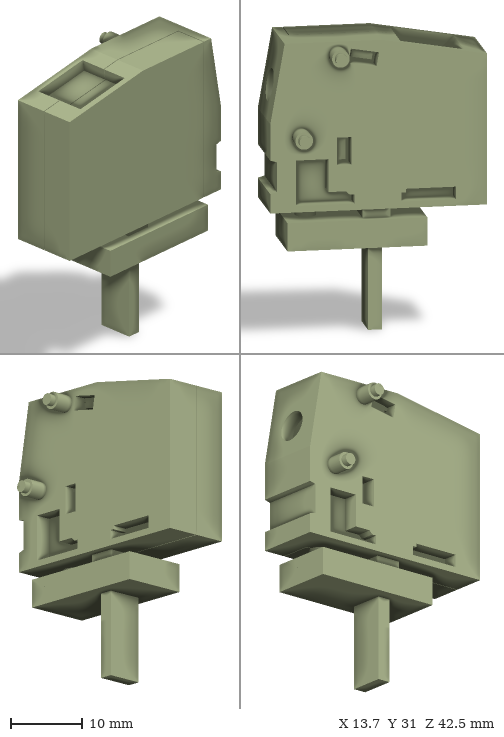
import cadquery as cq
import math


module_width = 10.05
module_depth = 31.0
module_bottom = 18.0
module_top = 42.5
slope_angle = 10.0
crease_y = 15.0
back_edge_y = 28.95
mid_x = module_width / 2

slope_sin = math.sin(math.radians(slope_angle))
slope_cos = math.cos(math.radians(slope_angle))
slope_tan = slope_sin / slope_cos

notch_depth = 0.95
notch_bottom = 20.82
notch_top = 25.65
notch_taper = 0.25

housing_thickness = mid_x
gap = 0.13
cover_back_y = 27.35

label_width = 8.15
label_front_y = 3.2
label_back_y = 12.25
label_floor_front_y = 4.9
label_depth = 1.8

entry_diameter = 4.6
entry_y = 30.18
entry_depth = 2.12

pocket_depth = 2.4
pocket_bottom = 18.95
pocket_step = 20.27
pocket_shelf = 20.8
slot_front_y = 4.45
slot_step_y = 11.6
slot_back_y = 12.25
angle_pocket_top = 25.55
angle_pocket_front_y = 18.95
angle_pocket_chamfer_y = 20.15
angle_pocket_inner_y = 22.65
angle_pocket_back_y = 27.3

window_length = 4.1
window_width = 2.1
block_length = 3.0
block_width = 1.5
block_recess = 1.6
ledge_width = 0.6
ledge_recess = 1.75
upright_window = (20.4, 26.55)
tilted_window = (17.65, 40.05)
window_tilt = 90.0 + slope_angle

pin_diameter = 2.5
pin_length = 2.68
pin_tip_diameter = 1.7
pin_tip_length = 0.98
pin_places = [(21.38, 40.65), (26.6, 29.0)]

plate_width = 9.65
plate_left_x = 0.2
plate_front_y = 8.5
plate_length = 19.98
lower_plate_bottom = 12.35
lower_plate_top = 14.88
upper_plate_top = 16.45
plate_mid_x = plate_left_x + plate_width / 2

boss_width = 7.15
boss_length = 3.95
boss_y = 15.55
post_diameter = 3.0
post_y = 25.08

blade_width = 5.4
blade_thickness = 2.0
blade_y = 15.6


def box(x_min, x_max, y_min, y_max, z_min, z_max):
    """Box between the given limits."""
    return cq.Workplane("XY").box(
        x_max - x_min, y_max - y_min, z_max - z_min, centered=False
    ).translate((x_min, y_min, z_min))


def side_profile(points, x_start, length):
    """Prism along +X from a (Y, Z) outline."""
    return cq.Workplane("YZ", origin=(x_start, 0, 0)).polyline(points).close().extrude(length)


def top_slope_z(y):
    """Height of the sloping top face at a given Y."""
    return module_top - (crease_y - y) * slope_tan


def module_block():
    """Full outline of housing and cover, with the latch notch in the back."""
    notch_y = module_depth - notch_depth
    outline = [
        (0, module_bottom),
        (0, top_slope_z(0)),
        (crease_y, module_top),
        (back_edge_y, module_top),
        (module_depth, module_top - (module_depth - back_edge_y) / slope_tan),
        (module_depth, notch_top),
        (notch_y, notch_top - notch_taper),
        (notch_y, notch_bottom + notch_taper),
        (module_depth, notch_bottom),
        (module_depth, module_bottom),
    ]
    return side_profile(outline, 0, module_width)


def label_recess():
    """Recess with a floor parallel to the sloping top, a square back wall and a ramped front."""
    back_z = top_slope_z(label_back_y)
    outline = [
        (label_front_y, top_slope_z(label_front_y)),
        (label_floor_front_y, top_slope_z(label_floor_front_y) - label_depth / slope_cos),
        (label_back_y + label_depth * slope_sin, back_z - label_depth * slope_cos),
        (label_back_y, back_z),
    ]
    return side_profile(outline, mid_x - label_width / 2, label_width)


def wire_entry():
    """Blind round hole square to the sloping back face."""
    entry_z = module_top - (entry_y - back_edge_y) / slope_tan
    inward = cq.Vector(0, -slope_cos, -slope_sin)
    mouth = cq.Vector(mid_x, entry_y, entry_z)
    return cq.Workplane(cq.Solid.makeCylinder(entry_diameter / 2, entry_depth, mouth, inward))


def slot_pocket():
    """Long pocket near the bottom with one stepped corner."""
    outline = [
        (slot_front_y, pocket_bottom),
        (slot_back_y, pocket_bottom),
        (slot_back_y, pocket_step),
        (slot_step_y, pocket_step),
        (slot_step_y, pocket_shelf),
        (slot_front_y, pocket_shelf),
    ]
    return side_profile(outline, 0, pocket_depth)


def angle_pocket():
    """L-shaped pocket with a chamfered step at the end of its foot."""
    chamfer = pocket_shelf - pocket_step
    outline = [
        (angle_pocket_front_y, pocket_bottom),
        (angle_pocket_back_y, pocket_bottom),
        (angle_pocket_back_y, angle_pocket_top),
        (angle_pocket_inner_y, angle_pocket_top),
        (angle_pocket_inner_y, pocket_shelf),
        (angle_pocket_chamfer_y, pocket_shelf),
        (angle_pocket_chamfer_y - chamfer, pocket_step),
        (angle_pocket_front_y, pocket_step),
    ]
    return side_profile(outline, 0, pocket_depth)


def window(place, tilt):
    """Rectangular pocket that keeps a raised block and a ledge against one long wall."""
    half_width = window_width / 2
    half_length = window_length / 2
    half_block = block_length / 2
    opening = box(0, pocket_depth, -half_width, half_width, -half_length, half_length)
    ledge = box(ledge_recess, pocket_depth, half_width - ledge_width, half_width, -half_length, half_length)
    block = box(block_recess, pocket_depth, half_width - block_width, half_width, -half_block, half_block)
    pocket = opening.cut(ledge).cut(block)
    return pocket.rotate((0, 0, 0), (1, 0, 0), tilt).translate((0, *place))


def stepped_pin(place):
    """Round pin with a thinner tip, pointing to -X."""
    face = cq.Workplane("YZ").center(*place)
    shoulder = face.circle(pin_diameter / 2).extrude(-pin_length)
    tip = face.circle(pin_tip_diameter / 2).extrude(-(pin_length + pin_tip_length))
    return shoulder.union(tip)


def shared_block():
    """Module block with the recesses that run across housing and cover."""
    return module_block().cut(label_recess())


def make_housing():
    """Side half and full-width back wall, with the side pockets and pins."""
    cover_room = box(
        housing_thickness, module_width, 0, cover_back_y + gap, module_bottom, module_top
    )
    body = shared_block().cut(cover_room).cut(wire_entry())
    body = body.cut(slot_pocket()).cut(angle_pocket())
    body = body.cut(window(upright_window, 0)).cut(window(tilted_window, window_tilt))
    for place in pin_places:
        body = body.union(stepped_pin(place))
    return body


def make_cover():
    """Other half of the module, in front of the housing's back wall."""
    cover_space = box(
        housing_thickness + gap, module_width, 0, cover_back_y, module_bottom, module_top
    )
    return shared_block().intersect(cover_space)


def plate(z_min, z_max):
    """Rectangular plate between two heights."""
    return box(
        plate_left_x, plate_left_x + plate_width,
        plate_front_y, plate_front_y + plate_length,
        z_min, z_max,
    )


def make_upper_plate():
    """Plate with a block and a round post that reach the module's underside."""
    support_height = module_bottom - upper_plate_top
    top = cq.Workplane("XY", origin=(mid_x, 0, upper_plate_top))
    boss = top.center(0, boss_y).rect(boss_width, boss_length).extrude(support_height)
    post = top.center(0, post_y).circle(post_diameter / 2).extrude(support_height)
    return plate(lower_plate_top, upper_plate_top).union(boss).union(post)


def make_lower_plate():
    """Plate with the long blade below it."""
    blade = (
        cq.Workplane("XY", origin=(plate_mid_x, blade_y, 0))
        .rect(blade_width, blade_thickness)
        .extrude(lower_plate_bottom)
    )
    return plate(lower_plate_bottom, lower_plate_top).union(blade)


housing = make_housing()
cover = make_cover()
upper_plate = make_upper_plate()
lower_plate = make_lower_plate()

result = cq.Compound.makeCompound(
    [housing.val(), cover.val(), upper_plate.val(), lower_plate.val()]
)